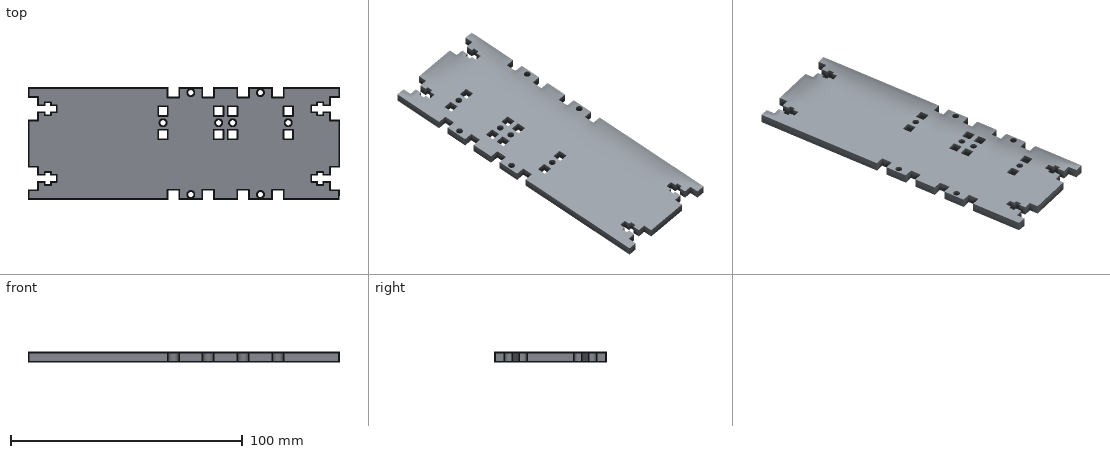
import cadquery as cq

LENGTH = 134.0
WIDTH = 48.0
THICKNESS = 4.0
HALF_LENGTH = LENGTH / 2
HALF_WIDTH = WIDTH / 2
SKEWED_CORNER_INSET = 0.3

SOCKET_DEPTH = THICKNESS

EDGE_SOCKET_LENGTH = 5.0
EDGE_SOCKET_PITCH = 15.0
EDGE_SOCKET_COUNT = 4
FIRST_EDGE_SOCKET_X = -4.5

END_SOCKET_WIDTH = 10.0
END_SOCKET_Y = 15.0
SCREW_SLOT_WIDTH = 3.0
SCREW_SLOT_REACH = 12.0
NUT_WIDTH = 5.5
NUT_THICKNESS = 2.5
NUT_DISTANCE = 8.3

SCREW_HOLE_DIAMETER = 3.0
EDGE_HOLE_Y = HALF_WIDTH - SOCKET_DEPTH / 2
EDGE_HOLE_GAPS = (0, 2)
EDGE_HOLE_XS = [FIRST_EDGE_SOCKET_X + (gap + 0.5) * EDGE_SOCKET_PITCH for gap in EDGE_HOLE_GAPS]

TAB_HOLE_SIZE = THICKNESS
TAB_HOLE_SPACING = 10.0
MOUNT_Y = 9.0
MOUNT_PAIR_SPACING = 24.0
MOUNT_PAIR_CENTRES = (3.0, 33.0)


def cutter(size_x, size_y, x, y):
    """Rectangular block through the whole thickness, centred at (x, y)."""
    block = cq.Workplane("XY").box(size_x, size_y, THICKNESS, centered=(True, True, False))
    return block.translate((x, y, 0))


def screw_holes(points):
    """Screw holes through the whole thickness, centred at the given (x, y) points."""
    return cq.Workplane("XY").pushPoints(points).circle(SCREW_HOLE_DIAMETER / 2).extrude(THICKNESS)


def end_socket(side, y):
    """Socket and screw slot in the end at side = -1 (left) or +1 (right)."""
    end_x = side * HALF_LENGTH
    socket = cutter(2 * SOCKET_DEPTH, END_SOCKET_WIDTH, end_x, y)
    slot = cutter(2 * SCREW_SLOT_REACH, SCREW_SLOT_WIDTH, end_x, y)
    nut = cutter(NUT_THICKNESS, NUT_WIDTH, end_x - side * NUT_DISTANCE, y)
    return socket.union(slot).union(nut)


socket_bottom_y = -END_SOCKET_Y - END_SOCKET_WIDTH / 2
plate = (
    cq.Workplane("XY")
    .moveTo(-HALF_LENGTH, -HALF_WIDTH)
    .lineTo(HALF_LENGTH - SKEWED_CORNER_INSET, -HALF_WIDTH)
    .lineTo(HALF_LENGTH, socket_bottom_y)
    .lineTo(HALF_LENGTH, HALF_WIDTH)
    .lineTo(-HALF_LENGTH, HALF_WIDTH)
    .close()
    .extrude(THICKNESS)
)

for edge_y in (-HALF_WIDTH, HALF_WIDTH):
    for index in range(EDGE_SOCKET_COUNT):
        socket_x = FIRST_EDGE_SOCKET_X + index * EDGE_SOCKET_PITCH
        plate = plate.cut(cutter(EDGE_SOCKET_LENGTH, 2 * SOCKET_DEPTH, socket_x, edge_y))

for side in (-1, 1):
    for socket_y in (-END_SOCKET_Y, END_SOCKET_Y):
        plate = plate.cut(end_socket(side, socket_y))

edge_hole_points = [(x, y) for x in EDGE_HOLE_XS for y in (-EDGE_HOLE_Y, EDGE_HOLE_Y)]
plate = plate.cut(screw_holes(edge_hole_points))

for pair_x in MOUNT_PAIR_CENTRES:
    for mount_x in (pair_x - MOUNT_PAIR_SPACING / 2, pair_x + MOUNT_PAIR_SPACING / 2):
        plate = plate.cut(screw_holes([(mount_x, MOUNT_Y)]))
        for tab_y in (MOUNT_Y - TAB_HOLE_SPACING / 2, MOUNT_Y + TAB_HOLE_SPACING / 2):
            plate = plate.cut(cutter(TAB_HOLE_SIZE, TAB_HOLE_SIZE, mount_x, tab_y))

result = plate